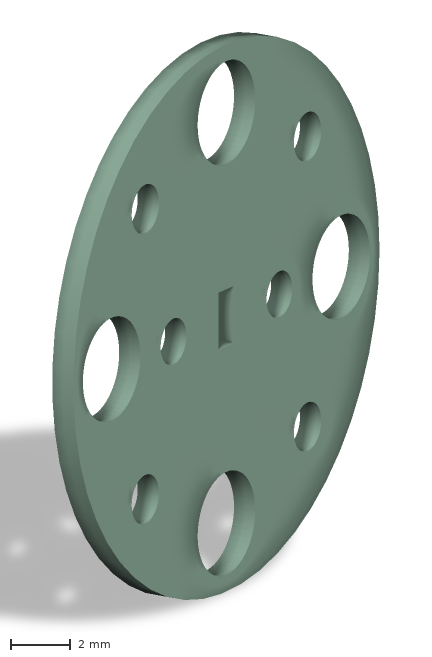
import cadquery as cq

disc_diameter = 19.05
thickness = 0.84

large_hole_diameter = 3.58
large_hole_offset = 7.15

corner_hole_diameter = 1.7
corner_hole_offset = 5.05

inner_hole_diameter = 1.6
inner_hole_offset = 3.3

slot_width = 1.0
slot_height = 2.0


def cut_holes(body, centers, diameter):
    """Cut round through holes at the given (Y, Z) centers."""
    holes = (
        cq.Workplane("YZ")
        .pushPoints(centers)
        .circle(diameter / 2)
        .extrude(thickness)
    )
    return body.cut(holes)


large_centers = [
    (large_hole_offset, 0),
    (0, large_hole_offset),
    (-large_hole_offset, 0),
    (0, -large_hole_offset),
]
corner_centers = [
    (y_side * corner_hole_offset, z_side * corner_hole_offset)
    for y_side in (-1, 1)
    for z_side in (-1, 1)
]
inner_centers = [(-inner_hole_offset, 0), (inner_hole_offset, 0)]

disc = cq.Workplane("YZ").circle(disc_diameter / 2).extrude(thickness)
disc = cut_holes(disc, large_centers, large_hole_diameter)
disc = cut_holes(disc, corner_centers, corner_hole_diameter)
disc = cut_holes(disc, inner_centers, inner_hole_diameter)

slot = cq.Workplane("YZ").rect(slot_width, slot_height).extrude(thickness)
result = disc.cut(slot)